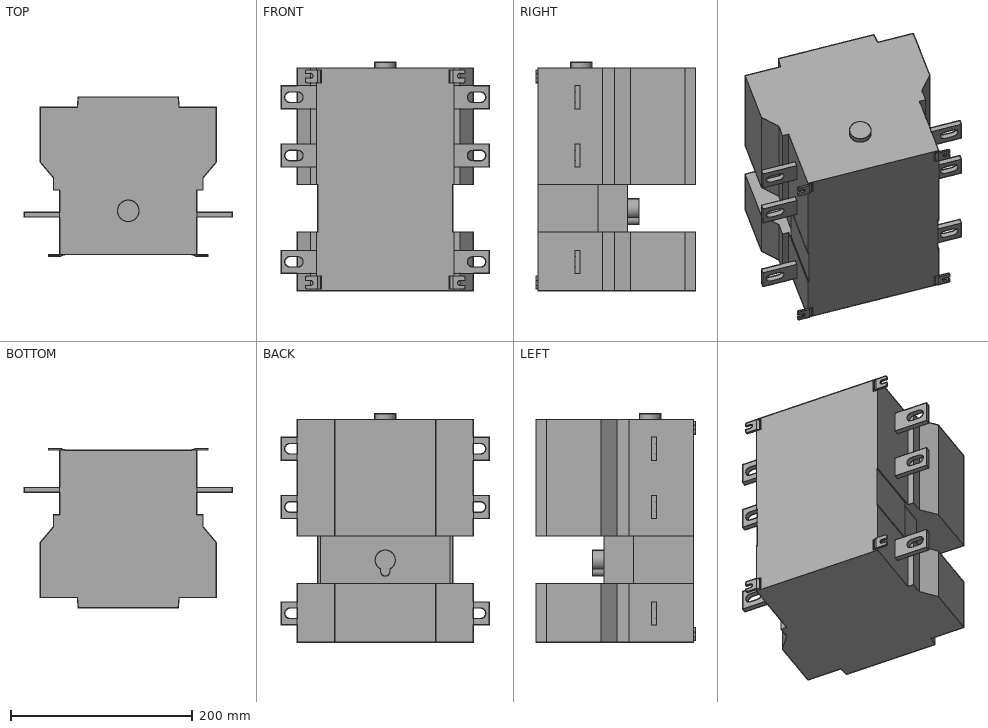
import cadquery as cq

HOUSING_HEIGHT = 246.0
HOUSING_DEPTH = 174.0
FRONT_HALF_WIDTH = 75.7
LEDGE_HALF_WIDTH = 82.8
REAR_HALF_WIDTH = 97.5
RAISED_BASE_HALF_WIDTH = 56.3
RAISED_TOP_HALF_WIDTH = 55.3
LEDGE_Y = 71.1
FLARE_START_Y = 84.8
FLARE_END_Y = 102.2
SHOULDER_Y = 162.7

WAIST_BOTTOM_Z = 65.0
WAIST_TOP_Z = 117.3
WAIST_HEIGHT = WAIST_TOP_Z - WAIST_BOTTOM_Z
WAIST_STEP_Y = 66.4
WAIST_BACK_Y = 99.2
WAIST_FRONT_HALF_WIDTH = 74.7
WAIST_REAR_HALF_WIDTH = 71.7

KNOB_LENGTH = 12.5
KNOB_RADIUS = 11.0
KNOB_Z = 90.8
POINTER_RADIUS = 5.0
POINTER_REACH = 12.5

BUTTON_DIAMETER = 23.7
BUTTON_HEIGHT = 252.3 - HOUSING_HEIGHT
BUTTON_Y = 48.2

TERMINAL_HALF_SPAN = 114.8
TERMINAL_HEIGHT = 25.5
TERMINAL_THICKNESS = 5.5
TERMINAL_Y = 44.0
TERMINAL_LEVELS = (32.0, 149.4, 213.7)
TERMINAL_SLOT_X = 100.7
TERMINAL_SLOT_LENGTH = 20.2
TERMINAL_SLOT_HEIGHT = 11.4

CLIP_THICKNESS = 2.0
CLIP_HEIGHT = 14.5
CLIP_EDGE_GAP = 2.0
CLIP_TIP_X = 88.0
CLIP_BEND_X = 74.7
CLIP_FOOT_X = 71.7
CLIP_INNER_X = 70.1
CLIP_FOOT_THICKNESS = 0.5
CLIP_TIP_RADIUS = 2.0
FORK_SLOT_WIDTH = 5.3
FORK_SLOT_END_X = 79.7
FORK_SLOT_OFFSET = 0.5


def mirrored_prism(right_outline, bottom_z, height):
    """Extrude along Z the outline made of the given right half and its mirror image."""
    left_outline = [(-x, y) for x, y in reversed(right_outline)]
    outline = cq.Workplane("XY").workplane(offset=bottom_z).polyline(right_outline + left_outline).close()
    return outline.extrude(height)


def make_housing_block(bottom_z, top_z):
    right_outline = [
        (FRONT_HALF_WIDTH, 0),
        (FRONT_HALF_WIDTH, LEDGE_Y),
        (LEDGE_HALF_WIDTH, LEDGE_Y),
        (LEDGE_HALF_WIDTH, FLARE_START_Y),
        (REAR_HALF_WIDTH, FLARE_END_Y),
        (REAR_HALF_WIDTH, SHOULDER_Y),
        (RAISED_BASE_HALF_WIDTH, SHOULDER_Y),
        (RAISED_TOP_HALF_WIDTH, HOUSING_DEPTH),
    ]
    return mirrored_prism(right_outline, bottom_z, top_z - bottom_z)


def make_waist():
    right_outline = [
        (WAIST_FRONT_HALF_WIDTH, 0),
        (WAIST_FRONT_HALF_WIDTH, WAIST_STEP_Y),
        (WAIST_REAR_HALF_WIDTH, WAIST_STEP_Y),
        (WAIST_REAR_HALF_WIDTH, WAIST_BACK_Y),
    ]
    return mirrored_prism(right_outline, WAIST_BOTTOM_Z, WAIST_HEIGHT)


def make_knob():
    back_of_waist = cq.Workplane("XZ", origin=(0, WAIST_BACK_Y, KNOB_Z))
    disc = back_of_waist.circle(KNOB_RADIUS).extrude(-KNOB_LENGTH)
    pointer = (
        back_of_waist.moveTo(-POINTER_RADIUS, 0)
        .lineTo(-POINTER_RADIUS, -POINTER_REACH)
        .threePointArc((0, -POINTER_REACH - POINTER_RADIUS), (POINTER_RADIUS, -POINTER_REACH))
        .lineTo(POINTER_RADIUS, 0)
        .close()
        .extrude(-KNOB_LENGTH)
    )
    return disc.union(pointer)


def make_button():
    top_face = cq.Workplane("XY", origin=(0, BUTTON_Y, HOUSING_HEIGHT))
    return top_face.circle(BUTTON_DIAMETER / 2).extrude(BUTTON_HEIGHT)


def make_terminal_bar(level):
    middle = cq.Workplane("XZ", origin=(0, TERMINAL_Y, level))
    bar = middle.rect(2 * TERMINAL_HALF_SPAN, TERMINAL_HEIGHT).extrude(TERMINAL_THICKNESS / 2, both=True)
    slots = (
        middle.pushPoints([(-TERMINAL_SLOT_X, 0), (TERMINAL_SLOT_X, 0)])
        .slot2D(TERMINAL_SLOT_LENGTH, TERMINAL_SLOT_HEIGHT)
        .extrude(TERMINAL_THICKNESS, both=True)
    )
    return bar.cut(slots)


def make_upper_right_clip():
    top_z = HOUSING_HEIGHT - CLIP_EDGE_GAP
    slot_z = top_z - CLIP_HEIGHT / 2 + FORK_SLOT_OFFSET
    clip = (
        cq.Workplane("XY", origin=(0, 0, top_z - CLIP_HEIGHT))
        .moveTo(CLIP_INNER_X, 0)
        .lineTo(CLIP_TIP_X, 0)
        .lineTo(CLIP_TIP_X, -CLIP_THICKNESS)
        .lineTo(CLIP_BEND_X, -CLIP_THICKNESS)
        .lineTo(CLIP_FOOT_X, -CLIP_FOOT_THICKNESS)
        .lineTo(CLIP_INNER_X, -CLIP_FOOT_THICKNESS)
        .close()
        .extrude(CLIP_HEIGHT)
    )
    clip = clip.faces(">X").edges("|Y").fillet(CLIP_TIP_RADIUS)
    slot_length = 2 * (CLIP_TIP_X - FORK_SLOT_END_X)
    slot = (
        cq.Workplane("XZ", origin=(FORK_SLOT_END_X + slot_length / 2, 0, slot_z))
        .slot2D(slot_length, FORK_SLOT_WIDTH)
        .extrude(2 * CLIP_THICKNESS, both=True)
    )
    return clip.cut(slot)


def make_clips():
    upper_right = make_upper_right_clip()
    upper_pair = upper_right.union(upper_right.mirror("YZ"))
    lower_pair = upper_pair.mirror("XY", (0, 0, HOUSING_HEIGHT / 2))
    return upper_pair.union(lower_pair)


result = make_housing_block(0, WAIST_BOTTOM_Z)
result = result.union(make_waist())
result = result.union(make_housing_block(WAIST_TOP_Z, HOUSING_HEIGHT))
result = result.union(make_knob())
result = result.union(make_button())
for terminal_level in TERMINAL_LEVELS:
    result = result.union(make_terminal_bar(terminal_level))
result = result.union(make_clips())